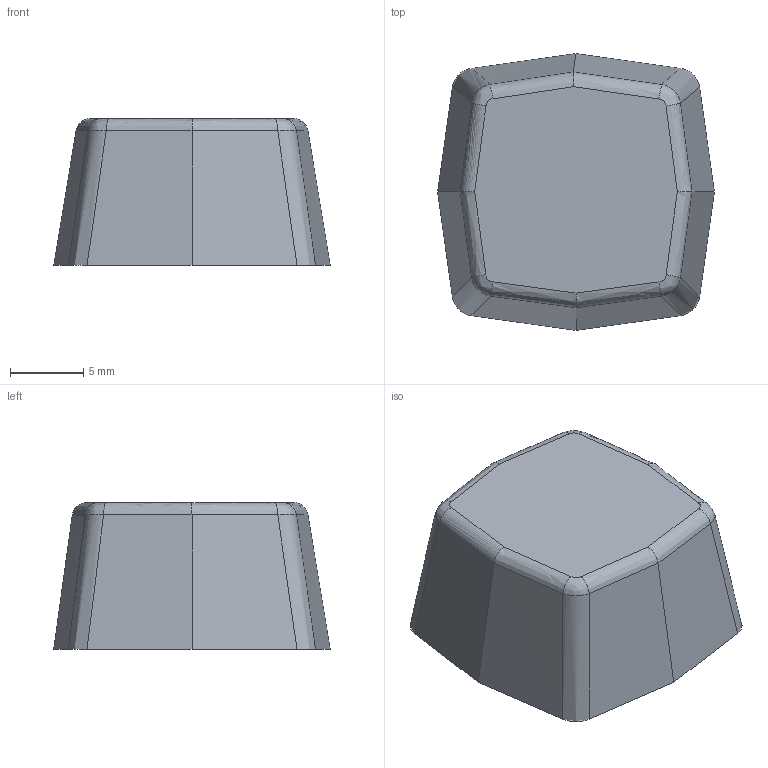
import cadquery as cq
import math

height = 10.0
base_half_width = 9.41
side_angle = 8.0

top_half_width = 7.75
top_back_ridge = (-0.2, 8.03)
top_corner_x = 6.83
top_front_corner_y = -6.83
top_back_corner_y = 7.02

corner_radius = 1.5
top_edge_radius = 1.0

base_corner = base_half_width / (1 + math.tan(math.radians(side_angle)))


def polygon_wire(points, z):
    """Closed straight-sided outline at height z."""
    return cq.Wire.makePolygon([cq.Vector(x, y, z) for x, y in points], close=True)


def tapered_body():
    """Eight ruled walls drawn in from the base outline to the smaller top outline."""
    base_points = [
        (0, -base_half_width),
        (base_corner, -base_corner),
        (base_half_width, 0),
        (base_corner, base_corner),
        (0, base_half_width),
        (-base_corner, base_corner),
        (-base_half_width, 0),
        (-base_corner, -base_corner),
    ]
    top_points = [
        (0, -top_half_width),
        (top_corner_x, top_front_corner_y),
        (top_half_width, 0),
        (top_corner_x, top_back_corner_y),
        top_back_ridge,
        (-top_corner_x, top_back_corner_y),
        (-top_half_width, 0),
        (-top_corner_x, top_front_corner_y),
    ]
    outlines = [polygon_wire(base_points, 0), polygon_wire(top_points, height)]
    return cq.Workplane(cq.Solid.makeLoft(outlines, ruled=True))


def round_corners(body):
    """Round the four upright corner edges, leaving the ridges sharp."""
    outer = base_half_width
    inner = top_half_width / 2
    for x_side in (-1, 1):
        for y_side in (-1, 1):
            near = (x_side * inner, y_side * inner, height / 4)
            far = (x_side * outer, y_side * outer, height * 3 / 4)
            corner_edge = cq.selectors.BoxSelector(near, far)
            body = body.edges(corner_edge).fillet(corner_radius)
    return body


def round_top_edge(body):
    """Round the whole edge of the top face."""
    return body.faces(">Z").edges().fillet(top_edge_radius)


result = round_top_edge(round_corners(tapered_body()))